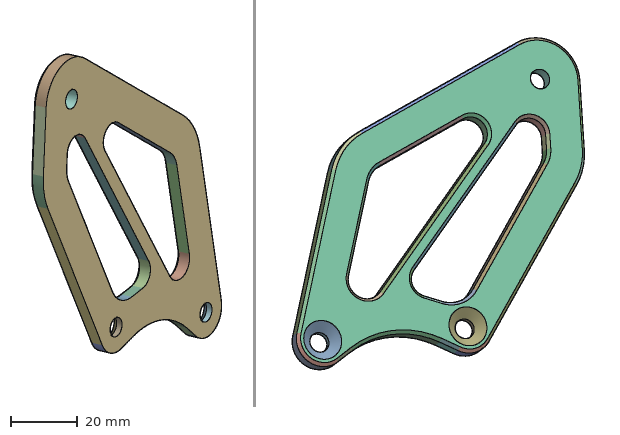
import math

import cadquery as cq


THICKNESS = 5.0
EDGE_CHAMFER = 1.0
WALL = 12.0

LOWER_HOLE = (0.0, 0.0)
SIDE_HOLE = (45.95, 8.1)
TOP_HOLE = (68.75, 86.61)
HOLE_DIAMETER = 6.0
COUNTERSINK_DIAMETER = 12.0
COUNTERSINK_ANGLE = 90.0

MOUNT_RADIUS = 8.0
TOP_RADIUS = 13.0
LEFT_CORNER_RADIUS = 20.0
RIGHT_CORNER_RADIUS = 20.0
RELIEF_RADIUS = 28.0

LEFT_DIRECTION = 77.95
UPPER_DIRECTION = 32.5
RIGHT_DIRECTION = -86.25
LOWER_DIRECTION = -118.6
RELIEF_SLOPE = 30.0

RIB_DIRECTION = 55.9
RIB_WIDTH = 4.6
RIB_POINT = (39.6, 43.7)

WINDOW_RADIUS = 5.0
LEFT_WINDOW_FOOT_RADIUS = 5.5
LEFT_WINDOW_CORNER_RADIUS = LEFT_CORNER_RADIUS - WALL
RIGHT_WINDOW_CORNER_RADIUS = RIGHT_CORNER_RADIUS - WALL
RIGHT_WINDOW_HEEL_RADIUS = 9.0
RIGHT_WINDOW_FLOOR_DIRECTION = 168.0
RIGHT_WINDOW_FLOOR_POINT = (34.0, 16.3)


def edge_line(point, direction, offset=0.0):
    """Line parallel to `direction` (degrees), `offset` to the left of `point`: (point, unit vector)."""
    angle = math.radians(direction)
    along = cq.Vector(math.cos(angle), math.sin(angle))
    left = cq.Vector(-along.y, along.x)
    return cq.Vector(*point) + left * offset, along


def intersection(first, second):
    """Point where two lines cross."""
    (p, u), (q, v) = first, second
    gap = q - p
    distance = (gap.x * v.y - gap.y * v.x) / (u.x * v.y - u.y * v.x)
    return p + u * distance


def rounded_outline(plane, edges, radii):
    """Closed outline of straight edges; radii[i] rounds the corner between edge i and edge i + 1."""
    corners = []
    for i, radius in enumerate(radii):
        incoming = edges[i]
        outgoing = edges[(i + 1) % len(edges)]
        corner = intersection(incoming, outgoing)
        u, v = incoming[1], outgoing[1]
        half_turn = u.getAngle(v) / 2
        setback = radius * math.tan(half_turn)
        corner_gap = radius * (1 / math.cos(half_turn) - 1)
        inward = (v - u).normalized()
        corners.append((corner - u * setback, corner + inward * corner_gap, corner + v * setback))

    outline = cq.Workplane(plane).moveTo(*corners[-1][2].toTuple()[:2])
    for start, middle, end in corners:
        outline = outline.lineTo(start.x, start.y)
        outline = outline.threePointArc((middle.x, middle.y), (end.x, end.y))
    return outline.close()


def plate(plane):
    """Outer plate, before the edges are chamfered."""
    mount_angle = math.degrees(math.atan2(SIDE_HOLE[1] - LOWER_HOLE[1], SIDE_HOLE[0] - LOWER_HOLE[0]))
    edges = [
        edge_line(LOWER_HOLE, LEFT_DIRECTION, MOUNT_RADIUS),
        edge_line(TOP_HOLE, UPPER_DIRECTION, TOP_RADIUS),
        edge_line(TOP_HOLE, RIGHT_DIRECTION, TOP_RADIUS),
        edge_line(SIDE_HOLE, LOWER_DIRECTION, MOUNT_RADIUS),
        edge_line(SIDE_HOLE, mount_angle + 180 - RELIEF_SLOPE, MOUNT_RADIUS),
        edge_line(LOWER_HOLE, mount_angle + 180 + RELIEF_SLOPE, MOUNT_RADIUS),
    ]
    radii = [
        LEFT_CORNER_RADIUS,
        TOP_RADIUS,
        RIGHT_CORNER_RADIUS,
        MOUNT_RADIUS,
        RELIEF_RADIUS,
        MOUNT_RADIUS,
    ]
    return rounded_outline(plane, edges, radii).extrude(-THICKNESS)


def left_window(plane):
    """Window on the left of the rib."""
    edges = [
        edge_line(LOWER_HOLE, LEFT_DIRECTION, MOUNT_RADIUS - WALL),
        edge_line(TOP_HOLE, UPPER_DIRECTION, TOP_RADIUS - WALL),
        edge_line(RIB_POINT, RIB_DIRECTION + 180, -RIB_WIDTH / 2),
    ]
    radii = [LEFT_WINDOW_CORNER_RADIUS, WINDOW_RADIUS, LEFT_WINDOW_FOOT_RADIUS]
    return rounded_outline(plane, edges, radii).extrude(-THICKNESS)


def right_window(plane):
    """Window on the right of the rib."""
    edges = [
        edge_line(RIB_POINT, RIB_DIRECTION, -RIB_WIDTH / 2),
        edge_line(TOP_HOLE, RIGHT_DIRECTION, TOP_RADIUS - WALL),
        edge_line(SIDE_HOLE, LOWER_DIRECTION, MOUNT_RADIUS - WALL),
        edge_line(RIGHT_WINDOW_FLOOR_POINT, RIGHT_WINDOW_FLOOR_DIRECTION),
    ]
    radii = [
        WINDOW_RADIUS,
        RIGHT_WINDOW_CORNER_RADIUS,
        RIGHT_WINDOW_HEEL_RADIUS,
        WINDOW_RADIUS,
    ]
    return rounded_outline(plane, edges, radii).extrude(-THICKNESS)


def mounting_holes(body, plane):
    """Cut the two countersunk mounting holes."""
    return (
        cq.Workplane(plane)
        .add(body.val())
        .pushPoints([LOWER_HOLE, SIDE_HOLE])
        .cskHole(HOLE_DIAMETER, COUNTERSINK_DIAMETER, COUNTERSINK_ANGLE)
    )


def top_hole(body, plane):
    """Cut the plain through hole in the upper corner."""
    return (
        cq.Workplane(plane)
        .add(body.val())
        .pushPoints([TOP_HOLE])
        .hole(HOLE_DIAMETER)
    )


face_plane = cq.Plane(origin=(0, 0, 0), xDir=(0, -1, 0), normal=(-1, 0, 0))

body = plate(face_plane).cut(left_window(face_plane)).cut(right_window(face_plane))
body = body.faces("<X").chamfer(EDGE_CHAMFER)
body = mounting_holes(body, face_plane)
result = top_hole(body, face_plane)